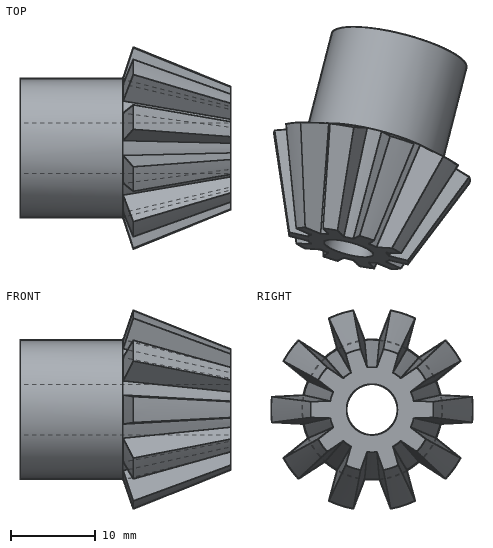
import cadquery as cq

length = 25.0
hub_length = 12.2
hub_radius = 8.28
bore_radius = 3.0

tooth_count = 10
root_radius = 8.35
root_end_radius = 5.05
tip_x = 13.42
tip_radius = 12.0
tip_end_radius = 7.3
tooth_half_tip = 1.52
tooth_half_root = 1.72
blank_inner = 5.0
blank_outer = 13.0

apex_x = tip_x + (length - tip_x) * tip_radius / (tip_radius - tip_end_radius)
head_length = length - hub_length
end_scale = (apex_x - length) / (apex_x - hub_length)


def revolve_about_x(points):
    """Revolve an (x, radius) outline about the X axis."""
    return cq.Workplane("XY").polyline(points).close().revolve(360, (0, 0, 0), (1, 0, 0))


def half_width(radius):
    """Half tooth width at a given radius in the plane of the hub face."""
    scale = (apex_x - hub_length) / (apex_x - tip_x)
    outer_radius = tip_radius * scale
    outer_half = tooth_half_tip * scale
    slope = (outer_half - tooth_half_root) / (outer_radius - root_radius)
    return tooth_half_root + slope * (radius - root_radius)


def tooth_blank():
    """Tapered bar along +Y whose sides are the tooth flanks."""
    inner_half = half_width(blank_inner)
    outer_half = half_width(blank_outer)
    section = [
        (blank_inner, -inner_half),
        (blank_outer, -outer_half),
        (blank_outer, outer_half),
        (blank_inner, inner_half),
    ]
    end_section = [(y * end_scale, z * end_scale) for y, z in section]
    return (
        cq.Workplane("YZ", origin=(hub_length, 0, 0))
        .polyline(section).close()
        .workplane(offset=head_length)
        .polyline(end_section).close()
        .loft(ruled=True)
    )


hub = cq.Workplane("YZ").circle(hub_radius).extrude(hub_length)
root_cone = revolve_about_x(
    [(hub_length, 0), (hub_length, root_radius), (length, root_end_radius), (length, 0)]
)
tooth_envelope = revolve_about_x(
    [
        (hub_length, 0),
        (hub_length, hub_radius),
        (tip_x, tip_radius),
        (length, tip_end_radius),
        (length, 0),
    ]
)

tooth = tooth_blank().intersect(tooth_envelope)
body = hub.union(root_cone)
for index in range(tooth_count):
    body = body.union(tooth.rotate((0, 0, 0), (1, 0, 0), index * 360 / tooth_count))

bore = cq.Workplane("YZ").circle(bore_radius).extrude(length)
result = body.cut(bore)